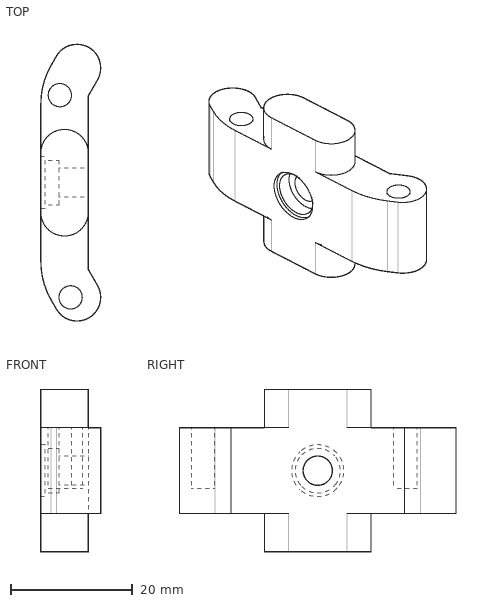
import cadquery as cq
import math

width = 7.8
length = 45.45
bar_height = 14.15
bend_angle = math.radians(30)
bend_radius = 12.6
tip_offset = 2.05
tip_radius = width / 2

pad_length = 17.5
total_height = 26.7

bore_diameter = 4.75
seat_diameter = 7.35
seat_depth = 3.0
rim_diameter = 8.55
rim_depth = 0.7

pin_diameter = 3.8
pin_depth = 10.0
pin_centers = [(3.15, 14.35), (4.9, -18.8)]

sine = math.sin(bend_angle)
cosine = math.cos(bend_angle)
tip_x = width / 2 + tip_offset
tip_y = length / 2 - tip_radius
bend_y = tip_y - tip_offset / math.tan(bend_angle)
half_angle_shift = width / 2 * math.tan(bend_angle / 2)
inner_corner_y = bend_y - half_angle_shift
outer_arc_start_y = bend_y + half_angle_shift - bend_radius * math.tan(bend_angle / 2)


def outer_arc_point(angle):
    """Point on the outer bend after turning through the given angle."""
    x = bend_radius * (1 - math.cos(angle))
    y = outer_arc_start_y + bend_radius * math.sin(angle)
    return x, y


def half_bar():
    """The +Y half of the bent bar."""
    outer_tangent = (tip_x - tip_radius * cosine, tip_y + tip_radius * sine)
    inner_tangent = (tip_x + tip_radius * cosine, tip_y - tip_radius * sine)
    tip_end = (tip_x + tip_radius * sine, tip_y + tip_radius * cosine)
    return (
        cq.Workplane("XY", origin=(0, 0, -bar_height / 2))
        .lineTo(0, outer_arc_start_y)
        .threePointArc(outer_arc_point(bend_angle / 2), outer_arc_point(bend_angle))
        .lineTo(*outer_tangent)
        .threePointArc(tip_end, inner_tangent)
        .lineTo(width, inner_corner_y)
        .lineTo(width, 0)
        .close()
        .extrude(bar_height)
    )


def pads():
    """Full-height rounded block that forms both pads."""
    return (
        cq.Workplane("XY", origin=(width / 2, 0, -total_height / 2))
        .slot2D(pad_length, width, 90)
        .extrude(total_height)
    )


def bore_step(diameter, depth):
    """Cylinder running from the -X face into the bar."""
    return cq.Workplane("YZ").circle(diameter / 2).extrude(depth)


def pin_holes():
    """Blind holes sunk from the top of the bar."""
    return (
        cq.Workplane("XY", origin=(0, 0, bar_height / 2))
        .pushPoints(pin_centers)
        .circle(pin_diameter / 2)
        .extrude(-pin_depth)
    )


bar = half_bar()
result = bar.union(bar.mirror("XZ")).union(pads()).clean()
for diameter, depth in [
    (bore_diameter, width),
    (seat_diameter, seat_depth),
    (rim_diameter, rim_depth),
]:
    result = result.cut(bore_step(diameter, depth))
result = result.cut(pin_holes())